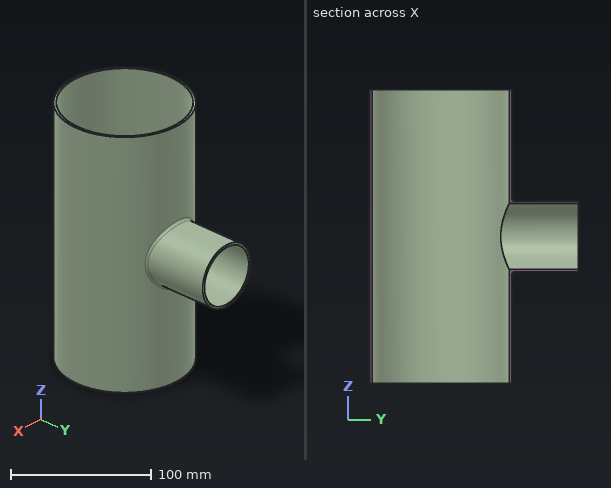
import cadquery as cq

pipe_length = 209.5
pipe_diameter = 101.7
wall = 2.0
pipe_bore = pipe_diameter - 2 * wall

overall_depth = 149.2
branch_diameter = 50.7
branch_bore = branch_diameter - 2 * wall
branch_reach = overall_depth - pipe_diameter / 2
junction_radius = 2.0


def upright_cylinder(diameter):
    """Cylinder along Z, as long as the main pipe and centred on the origin."""
    return cq.Workplane("XY").circle(diameter / 2).extrude(pipe_length / 2, both=True)


def branch_cylinder(diameter):
    """Cylinder from the main pipe axis out to the open end of the branch."""
    return cq.Workplane("XZ").circle(diameter / 2).extrude(-branch_reach)


def at_junction(edge):
    """True for the curve where the branch meets the main pipe's outer surface."""
    box = edge.BoundingBox()
    return box.ymin > 0 and box.ylen > wall and box.xlen > branch_bore


outside = upright_cylinder(pipe_diameter).union(branch_cylinder(branch_diameter))
junction = [edge for edge in outside.edges().vals() if at_junction(edge)]
outside = outside.newObject(junction).fillet(junction_radius)

result = outside.cut(upright_cylinder(pipe_bore)).cut(branch_cylinder(branch_bore))